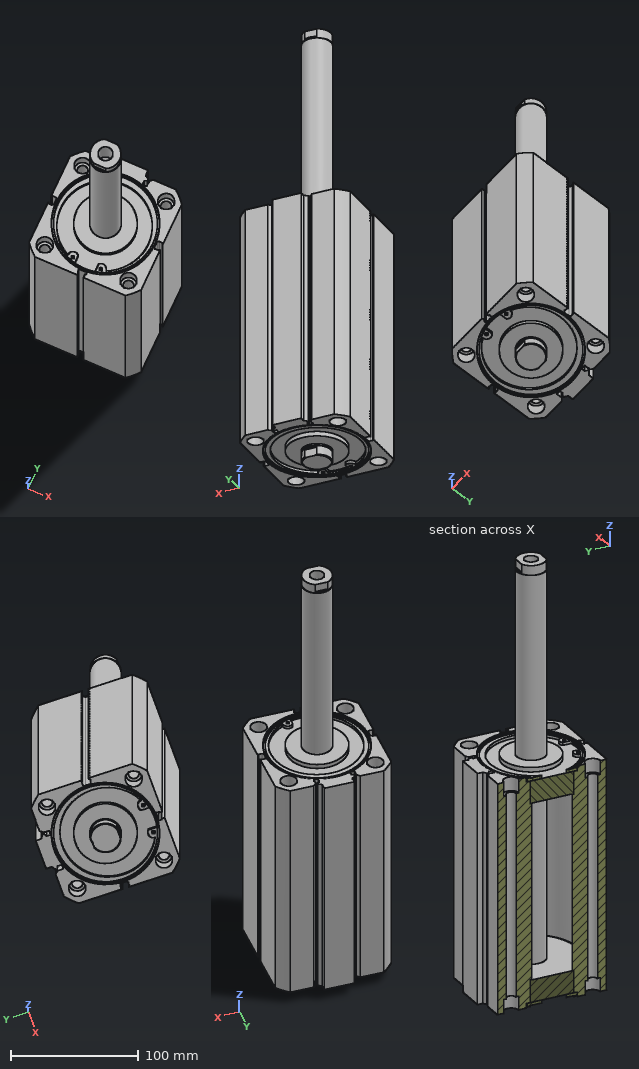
import cadquery as cq
import math

body_width = 96.5
body_length = 202.0
corner_diameter = 124.0
half_width = body_width / 2

rail_half_width = 12.5
rail_top_y = 53.75
rail_shoulder_y = 49.0
rail_lip_half_width = 15.5
rail_lip_top_y = 47.0
rail_lip_bottom_y = 45.7
rail_foot_half_width = 13.3
rail_foot_top_y = 44.2
channel_floor_y = 41.0
channel_half_width = 16.9
channel_chamfer = 2.4

slot_opening = 5.4
slot_undercut_width = 6.9
slot_depth = 5.0
side_slot_lip = 0.8
side_slot_corner_radius = 1.5
front_slot_lip = 2.8

bolt_spacing = 72.0
bolt_hole_diameter = 8.4
counterbore_diameter = 13.2
counterbore_depth = 12.0

bore_diameter = 80.0
cover_diameter = 81.5
mouth_diameter = 85.2
mouth_depth = 0.8
ring_groove_diameter = 84.5

cover_recess = 4.0
cover_thickness = 20.0
hub_diameter = 50.0

ring_thickness = 2.5
ring_inner_diameter = 75.0
ring_inner_offset = 1.8
ring_gap = 17.4
lug_x = 12.0
lug_y = -35.7
lug_diameter = 9.0
lug_hole_diameter = 2.5

rod_diameter = 25.0
rod_neck_diameter = 24.4
rod_neck_length = 8.4
rod_bottom_chamfer = 0.6
rod_across_flats = 22.0
rod_flat_length = 7.0
rod_bottom_z = -10.0
rod_top_z = 372.0
rod_hole_diameter = 11.5
rod_hole_depth = 25.0
drill_point_angle = 118.0


def cylinder(diameter, bottom_z, height):
    return cq.Workplane("XY").workplane(offset=bottom_z).circle(diameter / 2).extrude(height)


def opposite_end(part):
    """Mirror a part of the top end to the bottom end of the housing."""
    return part.mirror("XY", (0, 0, body_length / 2))


def housing_blank():
    square = cq.Workplane("XY").rect(body_width, body_width).extrude(body_length)
    return square.intersect(cylinder(corner_diameter, 0, body_length))


def mirrored_extrusion(half_outline):
    half = cq.Workplane("XY").polyline(half_outline).close().extrude(body_length)
    return half.union(half.mirror("YZ"))


def rail():
    return mirrored_extrusion([
        (0, channel_floor_y),
        (rail_foot_half_width, channel_floor_y),
        (rail_foot_half_width, rail_foot_top_y),
        (rail_lip_half_width, rail_lip_bottom_y),
        (rail_lip_half_width, rail_lip_top_y),
        (rail_half_width, rail_shoulder_y),
        (rail_half_width, rail_top_y),
        (0, rail_top_y),
    ])


def rail_channel():
    return mirrored_extrusion([
        (0, channel_floor_y),
        (channel_half_width, channel_floor_y),
        (channel_half_width, half_width - channel_chamfer),
        (channel_half_width + channel_chamfer, half_width),
        (0, half_width),
    ])


def sensor_slot(lip_thickness):
    """Undercut slot in the -Y face, open over the full length."""
    lip_y = -half_width + lip_thickness
    undercut_depth = slot_depth - lip_thickness
    opening = cq.Workplane("XY").center(0, lip_y - lip_thickness / 2)
    opening = opening.rect(slot_opening, lip_thickness).extrude(body_length)
    undercut = cq.Workplane("XY").center(0, lip_y + undercut_depth / 2)
    undercut = undercut.rect(slot_undercut_width, undercut_depth).extrude(body_length)
    return opening.union(undercut)


def make_housing():
    body = housing_blank().cut(rail_channel()).union(rail())
    side_slot = sensor_slot(side_slot_lip).edges("|Z and >Y").fillet(side_slot_corner_radius)
    left_slot = side_slot.rotate((0, 0, 0), (0, 0, 1), -90)
    body = body.cut(left_slot).cut(left_slot.mirror("YZ"))
    body = body.cut(sensor_slot(front_slot_lip))
    body = body.cut(cylinder(bore_diameter, 0, body_length))

    top_seat = cylinder(cover_diameter, body_length - cover_recess - cover_thickness,
                        cover_recess + cover_thickness)
    ring_groove = cylinder(ring_groove_diameter, body_length - cover_recess, ring_thickness)
    mouth = cylinder(mouth_diameter, body_length - mouth_depth, mouth_depth)
    end_cut = top_seat.union(ring_groove).union(mouth)
    body = body.cut(end_cut).cut(opposite_end(end_cut))

    bolts = cq.Workplane("XY").rect(bolt_spacing, bolt_spacing, forConstruction=True).vertices()
    body = body.cut(bolts.circle(bolt_hole_diameter / 2).extrude(body_length))
    counterbores = bolts.circle(counterbore_diameter / 2).extrude(counterbore_depth)
    return body.cut(counterbores).cut(opposite_end(counterbores))


def make_cover():
    face_z = body_length - cover_recess
    plate = cylinder(cover_diameter, face_z - cover_thickness, cover_thickness)
    hub = cylinder(hub_diameter, face_z, cover_recess)
    rod_hole = cylinder(rod_diameter, face_z - cover_thickness, cover_thickness + cover_recess)
    return plate.union(hub).cut(rod_hole)


def make_ring():
    bottom_z = body_length - cover_recess
    disc = cylinder(ring_groove_diameter, bottom_z, ring_thickness)
    opening = cylinder(ring_inner_diameter, bottom_z, ring_thickness).translate((0, -ring_inner_offset, 0))
    ring = disc.cut(opening)
    lug_places = [(-lug_x, lug_y), (lug_x, lug_y)]
    plane = cq.Workplane("XY").workplane(offset=bottom_z)
    lugs = plane.pushPoints(lug_places).circle(lug_diameter / 2).extrude(ring_thickness)
    lug_holes = plane.pushPoints(lug_places).circle(lug_hole_diameter / 2).extrude(ring_thickness)
    gap = plane.center(0, -half_width).rect(ring_gap, body_width / 2).extrude(ring_thickness)
    return ring.union(lugs.intersect(disc)).cut(gap).cut(lug_holes)


def make_rod():
    rod_radius = rod_diameter / 2
    neck_radius = rod_neck_diameter / 2
    hole_radius = rod_hole_diameter / 2
    point_depth = hole_radius / math.tan(math.radians(drill_point_angle / 2))
    top_neck_z = rod_top_z - rod_neck_length
    bottom_neck_z = rod_bottom_z + rod_neck_length
    profile = [
        (0, rod_bottom_z),
        (rod_bottom_chamfer - neck_radius, rod_bottom_z),
        (-neck_radius, rod_bottom_z + rod_bottom_chamfer),
        (-neck_radius, bottom_neck_z),
        (-rod_radius, bottom_neck_z),
        (-rod_radius, top_neck_z),
        (-neck_radius, top_neck_z),
        (-neck_radius, rod_top_z),
        (-hole_radius, rod_top_z),
        (-hole_radius, rod_top_z - rod_hole_depth),
        (0, rod_top_z - rod_hole_depth - point_depth),
    ]
    rod = cq.Workplane("YZ").polyline(profile).close().revolve(360, (0, 0), (0, 1))
    for flat_bottom_z in (rod_bottom_z, rod_top_z - rod_flat_length):
        flats = cq.Workplane("XY").workplane(offset=flat_bottom_z)
        waste = flats.rect(2 * rod_diameter, 2 * rod_diameter).rect(2 * rod_diameter, rod_across_flats)
        rod = rod.cut(waste.extrude(rod_flat_length))
    return rod


housing = make_housing()
top_cover = make_cover()
bottom_cover = opposite_end(top_cover)
top_ring = make_ring()
bottom_ring = opposite_end(top_ring)
rod = make_rod()

bodies = (housing, top_cover, bottom_cover, top_ring, bottom_ring, rod)
result = cq.Compound.makeCompound([body.val() for body in bodies])